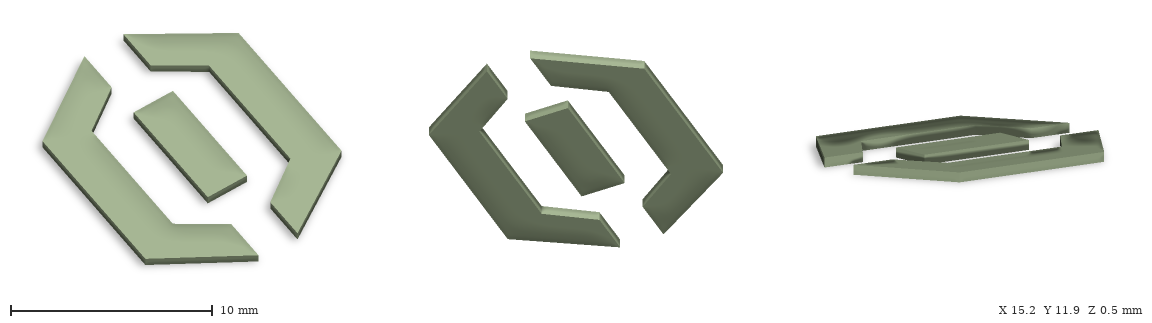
import cadquery as cq

thickness = 0.5
strip_width = 2.37

bracket_length = 15.15
bracket_depth = 2 * strip_width
outer_edge_start = 3.19
outer_edge_length = 8.95
inner_edge_start = 4.04
inner_edge_length = 7.07

overall_length = 15.18
rear_bracket_left = -overall_length / 2
front_bracket_left = overall_length / 2 - bracket_length
bracket_inset = strip_width / 2

plate_length = 6.45
plate_left = rear_bracket_left + 4.31


def make_bracket(left, side):
    """Half-hexagon bracket opening toward the X axis; side is +1 for rear, -1 for front."""
    tip_y = side * bracket_inset
    inner_y = side * (bracket_inset + bracket_depth - strip_width)
    outer_y = side * (bracket_inset + bracket_depth)
    outline = [
        (left, tip_y),
        (left + outer_edge_start, outer_y),
        (left + outer_edge_start + outer_edge_length, outer_y),
        (left + bracket_length, tip_y),
        (left + bracket_length - strip_width, tip_y),
        (left + inner_edge_start + inner_edge_length, inner_y),
        (left + inner_edge_start, inner_y),
        (left + strip_width, tip_y),
    ]
    return cq.Workplane("XY").polyline(outline).close().extrude(thickness)


def make_plate():
    """Rectangular plate centred between the brackets in Y."""
    plate = cq.Workplane("XY").box(plate_length, strip_width, thickness, centered=(False, True, False))
    return plate.translate((plate_left, 0, 0))


brackets = [
    make_bracket(left, side)
    for left, side in [(rear_bracket_left, 1), (front_bracket_left, -1)]
]
plate = make_plate()

result = cq.Compound.makeCompound([*[bracket.val() for bracket in brackets], plate.val()])